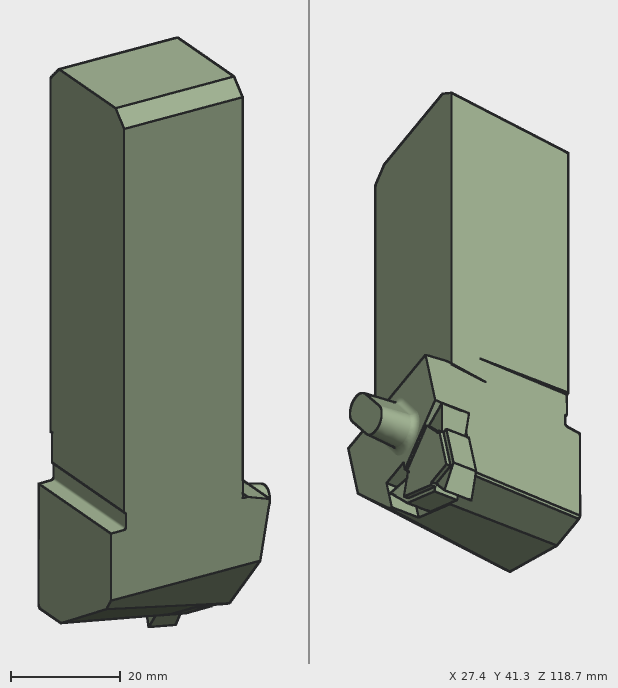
import cadquery as cq
import math


shank_side = 25.4
total_height = 118.7
shank_end_chamfer = 3.0

head_top = 34.9
head_front = -2.8
front_relief_depth = 0.4
front_relief_top = 38.5
ledge_fillet = 0.5
back_ledge_end = 26.5
back_ledge_slope = 19
corner_cut_top = 21.4
corner_cut_width = 7.0
corner_cut_height = 10.5

seat_lean = 10
head_bottom_below = 6.0
bottom_flat_end = 8.2
flank_slope = 30
cheek_angle = 1.5
cheek_cross_depth = 13.3
cheek_top_above = 28.5
cheek_edge_chamfer = 0.5

insert_x = 5.7
insert_y = 27.3
inscribed_radius = 6.3
side_start = 3.2
side_end = 5.8
tooth_length = 5.8
tooth_angle = 60
insert_thickness = 5.9
groove_depth = 1.0
groove_width = 1.0
sides = 3
turn = 360 / sides

tooth_clearance = 1.8
seat_right = 11.5

stud_diameter = 5.7
stud_length = 11.9
stud_height = 7.5
stud_end_slope = 3.3
stud_draft = 4
stud_turn = 65
stud_x = 4.9
stud_above = 14.2
stud_fillet = 1.2

edge_reach = 1.7
margin = 71.2

lean_sin = math.sin(math.radians(seat_lean))
lean_cos = math.cos(math.radians(seat_lean))
tooth_sin = math.sin(math.radians(tooth_angle))
tooth_cos = math.cos(math.radians(tooth_angle))
turn_sin = math.sin(math.radians(turn))
turn_cos = math.cos(math.radians(turn))

tooth_tip_x = tooth_length * tooth_cos - inscribed_radius
tooth_tip_y = -side_end - tooth_length * tooth_sin

insert_z = -tooth_tip_y * lean_cos

seat_plane = cq.Plane(
    origin=(insert_x, insert_y, insert_z),
    xDir=(1, 0, 0),
    normal=(0, -lean_cos, lean_sin),
)


def on_seat():
    return cq.Workplane(seat_plane)


def placed_on_seat(shape):
    """Move a shape drawn about the origin onto the seat plane."""
    return cq.Workplane(shape.val().moved(cq.Location(seat_plane)))


def turned(point, count):
    """Turn a point about the insert centre by a number of thirds of a turn."""
    x, y = point
    for _ in range(count):
        x, y = x * turn_cos - y * turn_sin, x * turn_sin + y * turn_cos
    return x, y


def make_insert():
    next_tip_x, next_tip_y = turned((tooth_tip_x, tooth_tip_y), 2)
    root_x = next_tip_x + (next_tip_y - side_start) * tooth_cos / tooth_sin
    one_side = [
        (root_x, side_start),
        (-inscribed_radius, side_start),
        (-inscribed_radius, -side_end),
        (tooth_tip_x, tooth_tip_y),
    ]
    outline = [turned(point, count) for count in range(sides) for point in one_side]
    insert = on_seat().polyline(outline).close().extrude(insert_thickness)

    half_width = tooth_tip_x + inscribed_radius
    rake = (
        cq.Workplane("YZ", origin=(-inscribed_radius, 0, 0))
        .polyline([(tooth_tip_y, 0), (-side_end, groove_depth), (-side_end, 0)])
        .close()
        .extrude(2 * half_width)
    )
    groove = (
        cq.Workplane("XY", origin=(-inscribed_radius, -side_end, 0))
        .box(groove_width, side_end + side_start, groove_depth, centered=False)
    )
    relief = rake.union(groove)
    for count in range(sides):
        insert = insert.cut(placed_on_seat(relief.rotate((0, 0, 0), (0, 0, 1), count * turn)))
    return insert


def make_shank():
    shank = cq.Workplane("XY").box(shank_side, shank_side, total_height - head_top, centered=False)
    shank = shank.edges("|Y and >Z").chamfer(shank_end_chamfer)
    relief = (
        cq.Workplane("YZ")
        .polyline([
            (0, 0),
            (front_relief_depth, 0),
            (front_relief_depth, front_relief_top - front_relief_depth - head_top),
            (0, front_relief_top - head_top),
        ])
        .close()
        .extrude(shank_side)
    )
    return shank.cut(relief).translate((0, 0, head_top))


def make_head():
    ledge_drop = (margin - back_ledge_end) * math.tan(math.radians(back_ledge_slope))
    side_profile = [
        (head_front, head_top),
        (back_ledge_end, head_top),
        (margin, head_top - ledge_drop),
        (margin, -margin),
        (head_front, -margin),
    ]
    block = (
        cq.Workplane("YZ", origin=(-shank_side, 0, 0))
        .polyline(side_profile)
        .close()
        .extrude(2 * shank_side)
    )

    right = shank_side - insert_x
    flat_end = bottom_flat_end - insert_x
    flank_rise = (right - flat_end) * math.tan(math.radians(flank_slope))
    prism = (
        on_seat()
        .polyline([
            (-shank_side, -head_bottom_below),
            (flat_end, -head_bottom_below),
            (right, flank_rise - head_bottom_below),
            (right, margin),
            (-shank_side, margin),
        ])
        .close()
        .extrude(margin)
    )

    corner_cut = (
        cq.Workplane("XZ", origin=(0, margin, 0))
        .polyline([
            (shank_side, corner_cut_top),
            (shank_side - 2 * corner_cut_width, corner_cut_top - 2 * corner_cut_height),
            (shank_side, corner_cut_top - 2 * corner_cut_height),
        ])
        .close()
        .extrude(2 * margin)
    )
    return block.intersect(prism).cut(corner_cut)


def make_cheek_cutter():
    """Space outside the slightly twisted -X face, up to the end of the milled cheek."""
    cheek_tan = math.tan(math.radians(cheek_angle))
    height = cheek_top_above + head_bottom_below
    surface_x = -insert_x - cheek_cross_depth * cheek_tan
    cutter = (
        cq.Workplane("XZ", origin=(0, cheek_top_above, 0))
        .polyline([
            (surface_x, 0),
            (surface_x + margin * cheek_tan, margin),
            (-margin, margin),
            (-margin, 0),
        ])
        .close()
        .extrude(height)
    )
    return placed_on_seat(cutter)


def make_seat_cutter():
    """Pocket whose upper wall bears on one side of the insert, with room for the far tooth."""
    wall_end = turned((-inscribed_radius, side_start), 2)
    wall_rise = margin / math.tan(math.radians(tooth_angle))
    wall_start = (wall_end[0] - margin, wall_end[1] + wall_rise)
    relief_y = wall_end[1] + tooth_clearance
    return (
        on_seat()
        .polyline([
            wall_start,
            wall_end,
            (wall_end[0], relief_y),
            (seat_right, relief_y),
            (seat_right, -margin),
            (-margin, -margin),
        ])
        .close()
        .extrude(insert_thickness)
    )


def make_stud():
    full_height = stud_height + stud_diameter
    base_growth = 2 * stud_height * math.tan(math.radians(stud_draft))
    stud = (
        on_seat()
        .center(stud_x, stud_above)
        .slot2D(stud_length + base_growth, stud_diameter + base_growth, stud_turn)
        .extrude(-full_height, taper=stud_draft)
    )
    beyond_end = (
        cq.Workplane("XY")
        .box(margin, margin, margin)
        .translate((0, 0, -margin / 2))
        .rotate((0, 0, 0), (1, 0, 0), -stud_end_slope)
        .translate((stud_x, stud_above, -stud_height))
    )
    return stud.cut(placed_on_seat(beyond_end))


def edges_near(center, reach_x, reach_y, reach_z):
    """Selector for edges whose midpoints lie within the given reach of a point."""
    x, y, z = center
    low = (x - reach_x, y - reach_y, z - reach_z)
    high = (x + reach_x, y + reach_y, z + reach_z)
    return cq.selectors.BoxSelector(low, high)


def make_holder():
    holder = make_head().union(make_stud())
    foot = seat_plane.toWorldCoords((stud_x, stud_above, 0)).toTuple()
    reach = stud_length / 2
    holder = holder.edges(edges_near(foot, reach, stud_fillet, reach)).fillet(stud_fillet)

    holder = holder.union(make_shank())
    relief_corner = (shank_side / 2, front_relief_depth, head_top)
    corner_edges = edges_near(relief_corner, edge_reach, edge_reach, edge_reach)
    holder = holder.edges(corner_edges).fillet(ledge_fillet)

    holder = holder.cut(make_cheek_cutter())
    cheek_edge = seat_plane.toWorldCoords((-insert_x, -head_bottom_below, cheek_cross_depth)).toTuple()
    cheek_edges = edges_near(cheek_edge, edge_reach, edge_reach, edge_reach)
    holder = holder.edges(cheek_edges).chamfer(cheek_edge_chamfer)

    return holder.cut(make_seat_cutter())


holder = make_holder()
insert = make_insert()

result = cq.Compound.makeCompound([holder.val(), insert.val()])